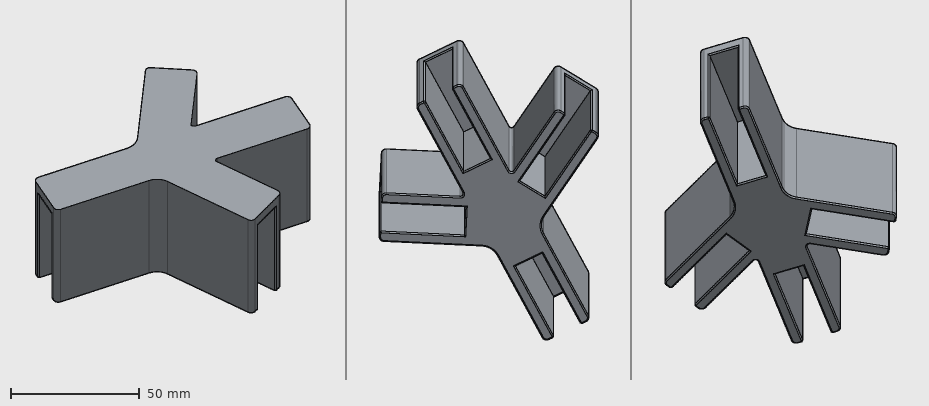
import cadquery as cq
import math

height = 50.0
total_length = 110
front_arm_length = 50.0
back_arm_length = total_length - front_arm_length
side_arm_length = 49.9
arm_width = 20.1
side_arm_angle = 30

tip_radius = 2.0
back_crotch_radius = 1.1
front_crotch_radius = 7.3
edge_chamfer = 0.5

slot_width = 11.7
slot_depth = 33
roof_thickness = 5.1

arms = [
    (-90, front_arm_length),
    (90, back_arm_length),
    (side_arm_angle, side_arm_length),
    (180 - side_arm_angle, side_arm_length),
]


def arm_block(angle, length):
    """Arm from the hub centre out to its tip, with rounded vertical tip corners."""
    block = cq.Workplane("XY").box(length, arm_width, height, centered=(False, True, False))
    block = block.faces(">X").edges("|Z").fillet(tip_radius)
    return block.rotate((0, 0, 0), (0, 0, 1), angle)


def slot_cutter(angle, length):
    """Slot running inward from the arm tip, with a chamfered mouth on its sides and roof."""
    slot_height = height - roof_thickness
    slot = cq.Workplane("XY").box(slot_depth, slot_width, slot_height, centered=(False, True, False))
    slot = slot.translate((length - slot_depth, 0, 0))

    half_width = slot_width / 2
    flare = [
        (length - edge_chamfer, half_width),
        (length, half_width + edge_chamfer),
        (length, -half_width - edge_chamfer),
        (length - edge_chamfer, -half_width),
    ]
    roof_slope = [
        (length - edge_chamfer, 0),
        (length - edge_chamfer, slot_height),
        (length, slot_height + edge_chamfer),
        (length, 0),
    ]
    mouth = cq.Workplane("XY").polyline(flare).close().extrude(height)
    mouth_roof = cq.Workplane("XZ").polyline(roof_slope).close().extrude(arm_width / 2, both=True)
    return slot.union(mouth.intersect(mouth_roof)).rotate((0, 0, 0), (0, 0, 1), angle)


def crotch_edges(body, y):
    """Pair of vertical edges where the side arms meet a straight arm, at plan position y."""
    middle = height / 2
    left = cq.selectors.NearestToPointSelector((-arm_width / 2, y, middle))
    right = cq.selectors.NearestToPointSelector((arm_width / 2, y, middle))
    return body.edges("|Z").edges(left + right)


body = arm_block(*arms[0])
for arm in arms[1:]:
    body = body.union(arm_block(*arm))

slope = math.radians(side_arm_angle)
half_arm = arm_width / 2
back_crotch_y = half_arm / math.cos(slope) + half_arm * math.tan(slope)
front_crotch_y = -half_arm / math.cos(slope) + half_arm * math.tan(slope)
body = crotch_edges(body, back_crotch_y).fillet(back_crotch_radius)
body = crotch_edges(body, front_crotch_y).fillet(front_crotch_radius)

for arm in arms:
    body = body.cut(slot_cutter(*arm))
result = body.faces("<Z").edges().chamfer(edge_chamfer)